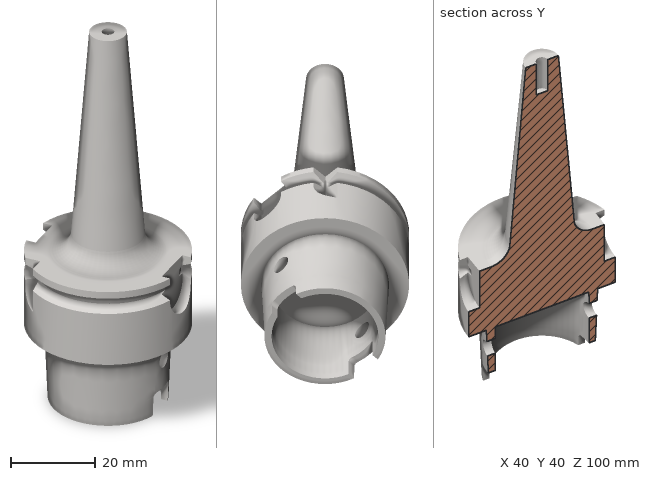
import cadquery as cq
import math

total_height = 100.0
shank_height = 20.0
flange_top = 40.0

shank_top_radius = 15.2
shank_bottom_radius = 14.4
bore_radius = 12.7
cross_hole_diameter = 4.6
cross_hole_height = 14.0
drive_slot_width = 8.0
drive_slot_corner = 1.0
near_drive_slot_depth = 3.6
far_drive_slot_depth = 6.0

flange_radius = 20.0
groove_radius = 17.4
lip_bottom = 38.2
groove_top = 37.0
groove_bottom = 35.3
groove_edge = 34.0

notch_bottom = 28.2
notch_floor_distance = 17.0
near_notch_width = 9.0
far_notch_width = 11.2
corner_notch_floor = 12.0
corner_notch_center_y = -16.5

nose_tip_radius = 4.5
nose_taper_angle = math.radians(4.6)
blend_radius = 5.0
blend_outer_radius = 13.8
tip_hole_diameter = 3.0
tip_hole_depth = 10.0


def body():
    """Revolve the flange, nose and shank about Z."""
    blend_center_z = flange_top + blend_radius

    def blend_point(angle):
        return (
            blend_outer_radius - blend_radius * math.cos(angle),
            blend_center_z - blend_radius * math.sin(angle),
        )

    middle_angle = (math.pi / 2 + nose_taper_angle) / 2
    return (
        cq.Workplane("XZ")
        .moveTo(0, 0)
        .lineTo(shank_bottom_radius, 0)
        .lineTo(shank_top_radius, shank_height)
        .lineTo(flange_radius, shank_height)
        .lineTo(flange_radius, groove_edge)
        .lineTo(groove_radius, groove_bottom)
        .lineTo(groove_radius, groove_top)
        .lineTo(flange_radius, lip_bottom)
        .lineTo(flange_radius, flange_top)
        .lineTo(blend_outer_radius, flange_top)
        .threePointArc(blend_point(middle_angle), blend_point(nose_taper_angle))
        .lineTo(nose_tip_radius, total_height)
        .lineTo(0, total_height)
        .close()
        .revolve(360, (0, 0, 0), (0, 1, 0))
    )


def flange_notch(width, center_y, floor_distance, side):
    """Cutter open at the flange top and outward; side is -1 or +1 along X."""
    radius = width / 2
    arc_center_z = notch_bottom + radius
    return (
        cq.Workplane("YZ", origin=(side * floor_distance, 0, 0))
        .moveTo(center_y - radius, flange_top)
        .lineTo(center_y - radius, arc_center_z)
        .threePointArc((center_y, notch_bottom), (center_y + radius, arc_center_z))
        .lineTo(center_y + radius, flange_top)
        .close()
        .extrude(side * flange_radius)
    )


def drive_slot(depth, side):
    """Cutter for a slot in the shank end, from the axis outward along X."""
    return (
        cq.Workplane("XY")
        .box(flange_radius, drive_slot_width, 2 * depth)
        .edges("|X")
        .fillet(drive_slot_corner)
        .translate((side * flange_radius / 2, 0, 0))
    )


def shank_bore():
    return cq.Workplane("XY").circle(bore_radius).extrude(shank_height)


def cross_hole():
    return (
        cq.Workplane("YZ")
        .center(0, cross_hole_height)
        .circle(cross_hole_diameter / 2)
        .extrude(flange_radius, both=True)
    )


def tip_hole():
    return (
        cq.Workplane("XY", origin=(0, 0, total_height))
        .circle(tip_hole_diameter / 2)
        .extrude(-tip_hole_depth)
    )


result = (
    body()
    .cut(shank_bore())
    .cut(cross_hole())
    .cut(drive_slot(near_drive_slot_depth, -1))
    .cut(drive_slot(far_drive_slot_depth, 1))
    .cut(flange_notch(near_notch_width, 0, notch_floor_distance, -1))
    .cut(flange_notch(far_notch_width, 0, notch_floor_distance, 1))
    .cut(flange_notch(near_notch_width, corner_notch_center_y, corner_notch_floor, -1))
    .cut(tip_hole())
)